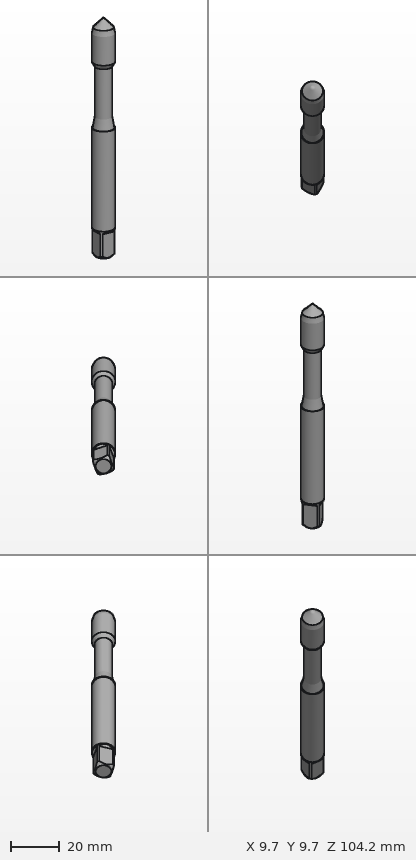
import cadquery as cq
import math

length = 104.2
body_radius = 9.7 / 2
neck_radius = 7.3 / 2
square_width = 7.2
square_corner_radius = 9.3 / 2

end_chamfer = 1.5
flat_top = 11.2
shank_bottom = 12.4
shank_top = 56.1
neck_bottom = 61.0

tip_radius = 4.3
tip_base = length - tip_radius
lead_base = length - 6.8
head_bottom = length - 19.3
back_taper_angle = math.radians(30)
back_taper_height = (body_radius - neck_radius) / math.tan(back_taper_angle)
neck_top = head_bottom - back_taper_height

neck_taper_angle = math.radians(10)
taper_end_radius = neck_radius + (neck_bottom - shank_top) * math.tan(neck_taper_angle)


def turned_body():
    """Revolve the half profile, given as (radius, height), about Z."""
    profile = [
        (0, 0),
        (square_corner_radius - end_chamfer, 0),
        (square_corner_radius, end_chamfer),
        (square_corner_radius, shank_bottom),
        (body_radius, shank_bottom),
        (body_radius, shank_top),
        (taper_end_radius, shank_top),
        (neck_radius, neck_bottom),
        (neck_radius, neck_top),
        (body_radius, head_bottom),
        (body_radius, lead_base),
        (tip_radius, tip_base),
        (0, length),
    ]
    return cq.Workplane("XZ").polyline(profile).close().revolve(360, (0, 0), (0, 1))


def flat_cutter():
    """Material outside one drive flat, with a 45 degree run-out at its top."""
    inner = square_width / 2
    outer = square_corner_radius
    runout_top = flat_top + outer - inner
    outline = [(inner, 0), (outer, 0), (outer, runout_top), (inner, flat_top)]
    section = cq.Workplane("XZ").polyline(outline).close()
    return section.extrude(body_radius, both=True)


result = turned_body()
for side in range(4):
    result = result.cut(flat_cutter().rotate((0, 0, 0), (0, 0, 1), 90 * side))